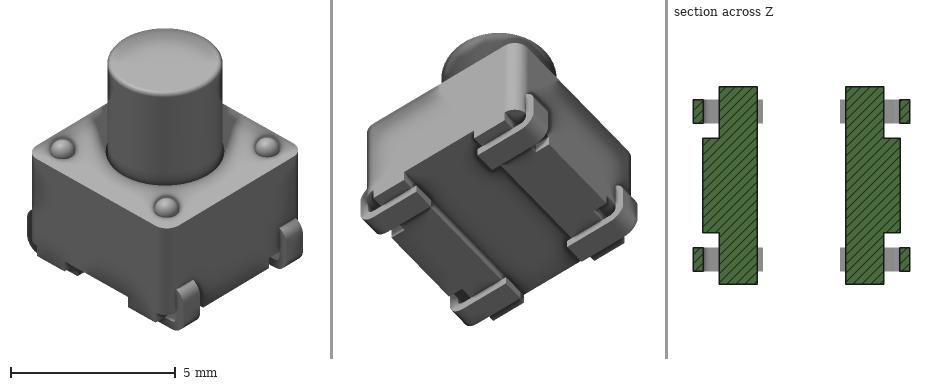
import cadquery as cq

HOUSING_SIDE = 6.0
FLAT_SIDE_WIDTH = 5.0
HOUSING_TOP = 3.905
OVERALL_HEIGHT = 7.3

LEAD_THICKNESS = 0.3
LEAD_WIDTH = 0.72
LEAD_OFFSET_Y = 2.24
LEAD_FOOT_END_X = 1.17
LEAD_HEIGHT = 1.61
LEAD_BEND_DIAMETER = 1.0
LEAD_ANCHOR_LENGTH = 0.505

RELIEF_HEIGHT = 0.38
SLOT_WIDTH = 2.68
NOTCH_LENGTH_Y = 1.56

RIVET_DIAMETER = 0.75
RIVET_CENTRE_RISE = 0.015
RIVET_SPACING = 4.39

BUTTON_DIAMETER = 3.5
BUTTON_TOP_DIAMETER = 3.2
HOLE_DIAMETER = 3.6
HOLE_DEPTH = 1.0

HALF_SIDE = HOUSING_SIDE / 2
CORNER_RADIUS = (HOUSING_SIDE - FLAT_SIDE_WIDTH) / 2
LEAD_BEND_RADIUS = LEAD_BEND_DIAMETER / 2
BUTTON_EDGE_RADIUS = (BUTTON_DIAMETER - BUTTON_TOP_DIAMETER) / 2
HOUSING_BOTTOM = LEAD_THICKNESS
HOUSING_HEIGHT = HOUSING_TOP - HOUSING_BOTTOM
HOLE_FLOOR = HOUSING_TOP - HOLE_DEPTH
NOTCH_WIDTH_X = CORNER_RADIUS


def box_on(bottom, length_x, length_y, height):
    """Box centred on the Z axis, standing on the height `bottom`."""
    return cq.Workplane("XY", origin=(0, 0, bottom)).rect(length_x, length_y).extrude(height)


def make_shell():
    """Square block with rounded upright edges."""
    block = box_on(HOUSING_BOTTOM, HOUSING_SIDE, HOUSING_SIDE, HOUSING_HEIGHT)
    return block.edges("|Z").fillet(CORNER_RADIUS)


def make_underside_relief():
    """Slot along Y through the underside, and a notch above each lead."""
    relief = box_on(HOUSING_BOTTOM, SLOT_WIDTH, HOUSING_SIDE, RELIEF_HEIGHT)
    notch = box_on(HOUSING_BOTTOM, NOTCH_WIDTH_X, NOTCH_LENGTH_Y, RELIEF_HEIGHT)
    notch_x = HALF_SIDE - NOTCH_WIDTH_X / 2
    notch_y = HALF_SIDE - NOTCH_LENGTH_Y / 2
    for side_x in (-1, 1):
        for side_y in (-1, 1):
            relief = relief.add(notch.translate((side_x * notch_x, side_y * notch_y, 0)))
    return relief.combine()


def make_lead():
    """C-shaped lead on the +X side, centred on Y = 0."""
    outer_x = HALF_SIDE + LEAD_THICKNESS
    anchor_x = HALF_SIDE - LEAD_ANCHOR_LENGTH
    inner_top = LEAD_HEIGHT - LEAD_THICKNESS
    inner_bend = LEAD_BEND_RADIUS - LEAD_THICKNESS

    lead = (
        cq.Workplane("XZ")
        .moveTo(LEAD_FOOT_END_X, 0)
        .lineTo(outer_x, 0)
        .lineTo(outer_x, LEAD_HEIGHT)
        .lineTo(anchor_x, LEAD_HEIGHT)
        .lineTo(anchor_x, inner_top)
        .lineTo(HALF_SIDE, inner_top)
        .lineTo(HALF_SIDE, LEAD_THICKNESS)
        .lineTo(LEAD_FOOT_END_X, LEAD_THICKNESS)
        .close()
        .extrude(LEAD_WIDTH / 2, both=True)
    )
    lead = lead.edges("|Y and >X").fillet(LEAD_BEND_RADIUS)
    inner_corners = [(HALF_SIDE, 0, LEAD_THICKNESS), (HALF_SIDE, 0, inner_top)]
    for corner in inner_corners:
        lead = lead.edges(cq.selectors.NearestToPointSelector(corner)).fillet(inner_bend)
    return lead


def add_leads(body):
    """Join two leads on each X side."""
    right_lead = make_lead()
    for lead in (right_lead, right_lead.mirror("YZ")):
        for side_y in (-1, 1):
            body = body.union(lead.translate((0, side_y * LEAD_OFFSET_Y, 0)))
    return body


def add_rivets(body):
    """Join a ball-shaped rivet head near each top corner."""
    rivets = (
        cq.Workplane("XY", origin=(0, 0, HOUSING_TOP + RIVET_CENTRE_RISE))
        .rect(RIVET_SPACING, RIVET_SPACING, forConstruction=True)
        .vertices()
        .sphere(RIVET_DIAMETER / 2)
    )
    return body.union(rivets)


def make_housing():
    """Housing with its moulded-in leads, rivet heads and button hole."""
    body = make_shell().cut(make_underside_relief())
    body = add_leads(body)
    body = add_rivets(body)
    hole = cq.Workplane("XY", origin=(0, 0, HOLE_FLOOR)).circle(HOLE_DIAMETER / 2).extrude(HOLE_DEPTH)
    return body.cut(hole)


def make_button():
    """Round button standing on the hole floor, with a rounded top edge."""
    height = OVERALL_HEIGHT - HOLE_FLOOR
    button = cq.Workplane("XY", origin=(0, 0, HOLE_FLOOR)).circle(BUTTON_DIAMETER / 2).extrude(height)
    return button.faces(">Z").edges().fillet(BUTTON_EDGE_RADIUS)


housing = make_housing()
button = make_button()

result = cq.Compound.makeCompound([housing.solids().val(), button.solids().val()])